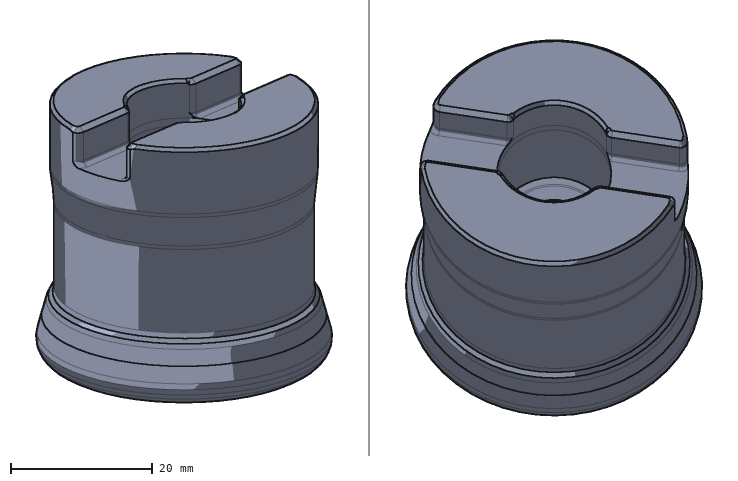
import cadquery as cq
import math

total_height = 40.0
outer_radius = 20.95

joint_height = 7.5
base_radius = 14.0
rim_circle_radius = 2.9
rim_centre_height = 4.28
rim_facet_angle = math.radians(17)
rim_facets_below_widest = 4

shoulder_bottom_radius = 19.55
shoulder_bottom_height = 9.85
shoulder_top_radius = 19.2
shoulder_top_height = 10.53
neck_flare_radius = 18.62
neck_flare_height = 11.1
neck_radius = 18.45
neck_bottom_height = 11.9
taper_bottom_height = 24.85
taper_top_height = 29.9
taper_fillet = 5.05
band_radius = 19.0
top_chamfer = 0.5

bore_radius = 8.1
lower_bore_radius = 8.0
bore_taper_height = 1.1
bore_floor_height = 20.0
bore_floor_radius = 7.17
bore_floor_bevel_height = 0.67
bore_floor_fillet = 0.38
through_radius = 4.2
through_chamfer = 0.5

slot_half_width = 4.15
slot_depth = 5.75
slot_corner_radius = 1.0
slot_floor_fillet = 0.75
slot_chamfer = 0.7
slot_chamfer_angle = 45
slot_mouth = 18.25
slot_overrun = 4.2

slot_floor_height = total_height - slot_depth


def rim_point(facet):
    """Rim profile corner, counted in facets above the widest one."""
    angle = facet * rim_facet_angle
    radius = outer_radius - rim_circle_radius * (1 - math.cos(angle))
    return radius, rim_centre_height + rim_circle_radius * math.sin(angle)


def joint_radius():
    """Radius where the straight flank from rim to shoulder crosses the joint."""
    rim_radius, rim_height = rim_point(1)
    fraction = (joint_height - rim_height) / (shoulder_bottom_height - rim_height)
    return rim_radius + fraction * (shoulder_bottom_radius - rim_radius)


def revolve(points):
    """Solid of revolution about Z from (radius, height) points."""
    return cq.Workplane("XZ").polyline(points).close().revolve(360, (0, 0, 0), (0, 1, 0))


def fillet_ring(body, radius, height, fillet):
    """Round the circular edge that has the given radius and height."""
    tolerance = 0.005
    ring_edges = [
        edge
        for edge in body.edges("%CIRCLE").vals()
        if abs(edge.radius() - radius) < tolerance and abs(edge.Center().z - height) < tolerance
    ]
    return body.newObject(ring_edges).fillet(fillet)


def make_cap():
    """Lower ring with a faceted rim and a shallow conical underside."""
    rim = [rim_point(facet) for facet in range(-rim_facets_below_widest, 2)]
    return revolve([
        (through_radius, 0),
        (base_radius, 0),
        *rim,
        (joint_radius(), joint_height),
        (through_radius, joint_height),
    ])


def make_holder_blank():
    """Turned holder with its stepped bore, before the slot is cut."""
    blank = revolve([
        (through_radius, joint_height),
        (joint_radius(), joint_height),
        (shoulder_bottom_radius, shoulder_bottom_height),
        (shoulder_top_radius, shoulder_top_height),
        (neck_flare_radius, neck_flare_height),
        (neck_radius, neck_bottom_height),
        (neck_radius, taper_bottom_height),
        (band_radius, taper_top_height),
        (band_radius, total_height - top_chamfer),
        (band_radius - top_chamfer, total_height),
        (bore_radius + top_chamfer, total_height),
        (bore_radius, total_height - top_chamfer),
        (bore_radius, slot_floor_height),
        (lower_bore_radius, slot_floor_height - bore_taper_height),
        (lower_bore_radius, bore_floor_height + bore_floor_bevel_height),
        (bore_floor_radius, bore_floor_height),
        (through_radius + through_chamfer, bore_floor_height),
        (through_radius, bore_floor_height - through_chamfer),
    ])
    blank = fillet_ring(blank, neck_radius, taper_bottom_height, taper_fillet)
    blank = fillet_ring(blank, band_radius, taper_top_height, taper_fillet)
    return fillet_ring(blank, bore_floor_radius, bore_floor_height, bore_floor_fillet)


def slot_corner_points():
    """One quarter of the slot plan, from the bore to the end beyond the mouth.

    The bore arc is tangent to the slot wall and to the bore. The mouth arc is a quarter circle.
    """
    corner_x = slot_half_width + slot_corner_radius
    bore_reach = bore_radius + slot_corner_radius
    bore_angle = math.acos(corner_x / bore_reach)
    bore_centre_y = bore_reach * math.sin(bore_angle)
    mouth_centre_y = slot_mouth - slot_corner_radius
    wide_x = corner_x + slot_overrun
    half_angle = bore_angle / 2
    quarter_mid = slot_corner_radius * math.sqrt(0.5)
    return {
        "bore": (bore_radius * math.cos(bore_angle), bore_radius * math.sin(bore_angle)),
        "bore arc": (
            corner_x - slot_corner_radius * math.cos(half_angle),
            bore_centre_y - slot_corner_radius * math.sin(half_angle),
        ),
        "wall start": (slot_half_width, bore_centre_y),
        "wall end": (slot_half_width, mouth_centre_y),
        "mouth arc": (corner_x - quarter_mid, mouth_centre_y + quarter_mid),
        "mouth": (corner_x, slot_mouth),
        "wide": (wide_x, slot_mouth),
        "end": (wide_x, slot_mouth + slot_overrun),
    }


def slot_outline(height):
    """Slot plan along Y, symmetric about X and Y, with rounded corners at bore and mouths."""
    corner = slot_corner_points()

    def place(name, side_x, side_y):
        x, y = corner[name]
        return x * side_x, y * side_y

    def outward(outline, side_x, side_y):
        outline = outline.lineTo(*place("bore", side_x, side_y))
        outline = outline.threePointArc(
            place("bore arc", side_x, side_y), place("wall start", side_x, side_y)
        )
        outline = outline.lineTo(*place("wall end", side_x, side_y))
        outline = outline.threePointArc(place("mouth arc", side_x, side_y), place("mouth", side_x, side_y))
        outline = outline.lineTo(*place("wide", side_x, side_y))
        return outline.lineTo(*place("end", side_x, side_y))

    def inward(outline, side_x, side_y):
        outline = outline.lineTo(*place("end", side_x, side_y))
        outline = outline.lineTo(*place("wide", side_x, side_y))
        outline = outline.lineTo(*place("mouth", side_x, side_y))
        outline = outline.threePointArc(
            place("mouth arc", side_x, side_y), place("wall end", side_x, side_y)
        )
        outline = outline.lineTo(*place("wall start", side_x, side_y))
        return outline.threePointArc(place("bore arc", side_x, side_y), place("bore", side_x, side_y))

    outline = cq.Workplane("XY", origin=(0, 0, height)).moveTo(corner["bore"][0], 0)
    outline = outward(outline, 1, 1)
    outline = inward(outline, -1, 1)
    outline = outward(outline, -1, -1)
    outline = inward(outline, 1, -1)
    return outline.close()


def cut_slot(blank):
    """Cut the slot with a rounded floor and chamfered top edges."""
    channel = slot_outline(slot_floor_height).extrude(slot_depth)
    channel = channel.faces("<Z").edges().fillet(slot_floor_fillet)
    flare = slot_outline(total_height - slot_chamfer)
    flare = flare.extrude(slot_chamfer, taper=-slot_chamfer_angle)
    return blank.cut(channel).cut(flare)


cap = make_cap()
holder = cut_slot(make_holder_blank())

result = cq.Compound.makeCompound([holder.val(), cap.val()])